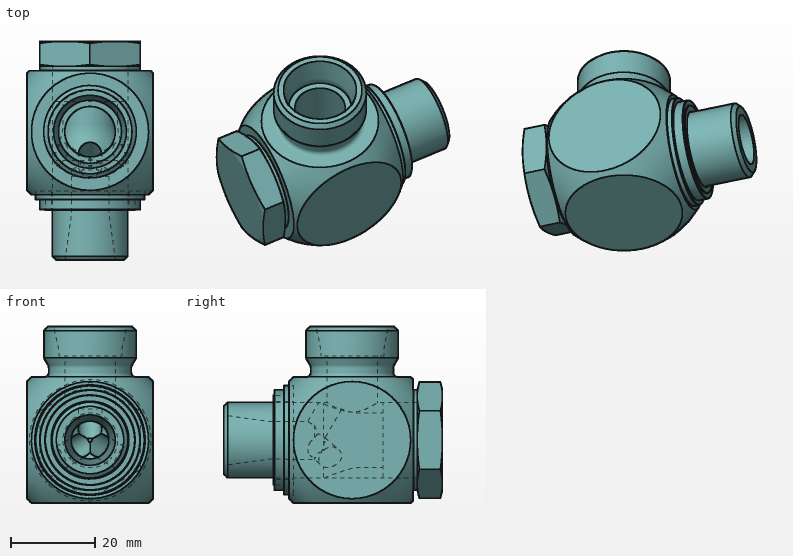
import cadquery as cq
import math


BODY_WIDTH = 30.0
BODY_HALF = BODY_WIDTH / 2
BODY_BACK_Y = 14.5
BODY_FRONT_Y = -BODY_HALF
BODY_SPHERE_DIA = 40.9

OVERALL_HEIGHT = 42.0
PORT_TOP_Z = OVERALL_HEIGHT - BODY_HALF
PORT_DIA = 22.0
PORT_TIP_DIA = 19.95
PORT_NECK_DIA = 19.7
PORT_CONE_TOP_Z = 19.5
PORT_CONE_HALF_ANGLE = 30
PORT_FILLET = 1.0
SEAT_CONE_DIA = 17.3
SEAT_CONE_HALF_ANGLE = 12
SEAT_DIA = 15.0
SEAT_DEPTH = 7.0
PORT_BORE_DIA = 12.0

BOLT_DIA = 18.0
BOLT_LENGTH = 52.0
BOLT_TIP_Y = -30.5
BOLT_TIP_CHAMFER = 1.0
BOLT_END_Y = BOLT_TIP_Y + BOLT_LENGTH
HEAD_FLATS = 23.95
HEAD_HEIGHT = 6.0
HEAD_BASE_Y = BOLT_END_Y - HEAD_HEIGHT
HEAD_CHAMFER_ANGLE = 15
WAIST_DIA = 13.0
WAIST_BACK_Y = 7.3
WAIST_FILLET_Y = 1.45
WAIST_FILLET_RADIUS = 8.0
WAIST_CONE_ANGLE = 20
BOLT_BORE_DIA = 12.0
BOLT_BORE_TAPER = 8
DRILL_DIA = 9.0
DRILL_TIP_HALF_ANGLE = 59
DRILL_TIP_Y = -6.3
CROSS_HOLE_DIA = 5.5
CROSS_HOLE_COUNT = 3
CROSS_HOLE_TILT = 30
CROSS_HOLE_Y = -10.0

EDGE_CHAMFER = 0.13
SLEEVE_FLANGE_DIA = 26.0
SLEEVE_DIA = 21.2
SLEEVE_BORE_DIA = 18.5
FLANGE_SEAT_DEPTH = 1.0
FLANGE_STANDOUT = 1.2
FLANGE_FRONT_Y = BODY_FRONT_Y - FLANGE_STANDOUT
SEAL_DIA = 23.9
SEAL_THICKNESS = 2.35
SEAL_FRONT_Y = FLANGE_FRONT_Y - SEAL_THICKNESS
SLEEVE_LIP = 0.15
SLEEVE_FRONT_Y = SEAL_FRONT_Y - SLEEVE_LIP


def tan_deg(angle):
    return math.tan(math.radians(angle))


def y_cylinder(diameter, front_y, back_y):
    """Solid cylinder on the Y axis."""
    length = back_y - front_y
    return cq.Workplane("XZ", origin=(0, back_y, 0)).circle(diameter / 2).extrude(length)


def turn(profile):
    """Revolve a profile about its plane's upright axis: Y for XY profiles, Z for XZ profiles."""
    return profile.close().revolve(360, (0, 0, 0), (0, 1, 0))


def chamfered_disc(diameter, front_y, back_y):
    """Cylinder on the Y axis with its front edge chamfered."""
    return y_cylinder(diameter, front_y, back_y).faces("<Y").chamfer(EDGE_CHAMFER)


def mouth_chamfer(bore_dia, front_y):
    """Cone that chamfers the front mouth of a bore on the Y axis."""
    bore_radius = bore_dia / 2
    profile = (
        cq.Workplane("XY")
        .moveTo(0, front_y)
        .lineTo(bore_radius + EDGE_CHAMFER, front_y)
        .lineTo(bore_radius, front_y + EDGE_CHAMFER)
        .lineTo(0, front_y + EDGE_CHAMFER)
    )
    return turn(profile)


def make_port():
    """Threaded end with a tapered back, a neck and filleted corners."""
    radius = PORT_DIA / 2
    tip_radius = PORT_TIP_DIA / 2
    neck_radius = PORT_NECK_DIA / 2
    chamfer = radius - tip_radius
    neck_top_z = PORT_CONE_TOP_Z - (radius - neck_radius) / tan_deg(PORT_CONE_HALF_ANGLE)
    foot_radius = neck_radius + PORT_FILLET
    arc_inset = PORT_FILLET * (1 - math.sqrt(0.5))
    profile = (
        cq.Workplane("XZ")
        .moveTo(0, 0)
        .lineTo(foot_radius, 0)
        .lineTo(foot_radius, BODY_HALF)
        .threePointArc(
            (neck_radius + arc_inset, BODY_HALF + arc_inset),
            (neck_radius, BODY_HALF + PORT_FILLET),
        )
        .lineTo(neck_radius, neck_top_z)
        .lineTo(radius, PORT_CONE_TOP_Z)
        .lineTo(radius, PORT_TOP_Z - chamfer)
        .lineTo(tip_radius, PORT_TOP_Z)
        .lineTo(0, PORT_TOP_Z)
    )
    neck_corner = cq.selectors.NearestToPointSelector((0, 0, neck_top_z))
    return turn(profile).edges(neck_corner).fillet(PORT_FILLET)


def make_port_bore():
    """Tapered tube seat, tube stop and bore down to the bolt axis."""
    seat_radius = SEAT_DIA / 2
    cone_radius = SEAT_CONE_DIA / 2
    cone_depth = (cone_radius - seat_radius) / tan_deg(SEAT_CONE_HALF_ANGLE)
    stop_z = PORT_TOP_Z - SEAT_DEPTH
    profile = (
        cq.Workplane("XZ")
        .moveTo(0, 0)
        .lineTo(PORT_BORE_DIA / 2, 0)
        .lineTo(PORT_BORE_DIA / 2, stop_z)
        .lineTo(seat_radius, stop_z)
        .lineTo(seat_radius, PORT_TOP_Z - cone_depth)
        .lineTo(cone_radius, PORT_TOP_Z)
        .lineTo(0, PORT_TOP_Z)
    )
    return turn(profile)


def make_body():
    """Cube rounded by a sphere, with the pipe port, a bolt hole and a flange recess."""
    cube = cq.Workplane("XY").box(BODY_WIDTH, BODY_BACK_Y - BODY_FRONT_Y, BODY_WIDTH)
    cube = cube.translate((0, (BODY_BACK_Y + BODY_FRONT_Y) / 2, 0))
    body = cube.intersect(cq.Workplane("XY").sphere(BODY_SPHERE_DIA / 2))
    body = body.union(make_port()).cut(make_port_bore())
    body = body.cut(y_cylinder(BOLT_DIA, BODY_FRONT_Y, BODY_BACK_Y))
    seat_back_y = BODY_FRONT_Y + FLANGE_SEAT_DEPTH
    body = body.cut(y_cylinder(SLEEVE_FLANGE_DIA, BODY_FRONT_Y, seat_back_y))
    return body.cut(mouth_chamfer(SLEEVE_FLANGE_DIA, BODY_FRONT_Y))


def make_head():
    """Hexagon with corners at the top and bottom, chamfered at both ends."""
    corner_radius = HEAD_FLATS / math.sqrt(3)
    flat_radius = HEAD_FLATS / 2
    hexagon = (
        cq.Workplane("XZ", origin=(0, BOLT_END_Y, 0))
        .transformed(rotate=(0, 0, 90))
        .polygon(6, 2 * corner_radius)
        .extrude(HEAD_HEIGHT)
    )
    chamfer = (corner_radius - flat_radius) * tan_deg(HEAD_CHAMFER_ANGLE)
    envelope = (
        cq.Workplane("XY")
        .moveTo(0, HEAD_BASE_Y)
        .lineTo(flat_radius, HEAD_BASE_Y)
        .lineTo(corner_radius, HEAD_BASE_Y + chamfer)
        .lineTo(corner_radius, BOLT_END_Y - chamfer)
        .lineTo(flat_radius, BOLT_END_Y)
        .lineTo(0, BOLT_END_Y)
    )
    return hexagon.intersect(turn(envelope))


def make_stem():
    """Shank with a waist that widens through a fillet and a cone toward the tip."""
    radius = BOLT_DIA / 2
    waist_radius = WAIST_DIA / 2

    def fillet_point(angle):
        radians = math.radians(angle)
        return (
            waist_radius + WAIST_FILLET_RADIUS * (1 - math.cos(radians)),
            WAIST_FILLET_Y - WAIST_FILLET_RADIUS * math.sin(radians),
        )

    cone_radius, cone_y = fillet_point(WAIST_CONE_ANGLE)
    cone_end_y = cone_y - (radius - cone_radius) / tan_deg(WAIST_CONE_ANGLE)
    profile = (
        cq.Workplane("XY")
        .moveTo(0, HEAD_BASE_Y)
        .lineTo(radius, HEAD_BASE_Y)
        .lineTo(radius, WAIST_BACK_Y)
        .lineTo(waist_radius, WAIST_BACK_Y)
        .lineTo(waist_radius, WAIST_FILLET_Y)
        .threePointArc(fillet_point(WAIST_CONE_ANGLE / 2), (cone_radius, cone_y))
        .lineTo(radius, cone_end_y)
        .lineTo(radius, BOLT_TIP_Y + BOLT_TIP_CHAMFER)
        .lineTo(radius - BOLT_TIP_CHAMFER, BOLT_TIP_Y)
        .lineTo(0, BOLT_TIP_Y)
    )
    return turn(profile)


def make_bolt_bore():
    """Tapered bore from the tip, ending in a drill point."""
    bore_radius = BOLT_BORE_DIA / 2
    drill_radius = DRILL_DIA / 2
    taper_length = (bore_radius - drill_radius) / tan_deg(BOLT_BORE_TAPER)
    point_length = drill_radius / tan_deg(DRILL_TIP_HALF_ANGLE)
    profile = (
        cq.Workplane("XY")
        .moveTo(0, BOLT_TIP_Y)
        .lineTo(bore_radius, BOLT_TIP_Y)
        .lineTo(drill_radius, BOLT_TIP_Y + taper_length)
        .lineTo(drill_radius, DRILL_TIP_Y - point_length)
        .lineTo(0, DRILL_TIP_Y)
    )
    return turn(profile)


def make_cross_holes():
    """Leaning holes from the bolt axis outward, the first pointing up."""
    holes = cq.Workplane("XY")
    for index in range(CROSS_HOLE_COUNT):
        hole = (
            cq.Workplane("XY", origin=(0, CROSS_HOLE_Y, 0))
            .transformed(rotate=(-CROSS_HOLE_TILT, 0, 0))
            .circle(CROSS_HOLE_DIA / 2)
            .extrude(BOLT_DIA)
            .rotate((0, 0, 0), (0, 1, 0), index * 360 / CROSS_HOLE_COUNT)
        )
        holes = holes.union(hole)
    return holes


def make_bolt():
    """Hollow hexagon bolt."""
    return make_stem().union(make_head()).cut(make_bolt_bore()).cut(make_cross_holes())


def make_sleeve():
    """Flanged sleeve around the bolt, its flange seated in the front of the body."""
    back_y = BODY_FRONT_Y + FLANGE_SEAT_DEPTH
    flange = chamfered_disc(SLEEVE_FLANGE_DIA, FLANGE_FRONT_Y, back_y)
    sleeve = flange.union(y_cylinder(SLEEVE_DIA, SLEEVE_FRONT_Y, back_y))
    return sleeve.cut(y_cylinder(SLEEVE_BORE_DIA, SLEEVE_FRONT_Y, back_y))


def make_seal_ring():
    """Ring on the sleeve, against its flange, chamfered inside and out at the front."""
    ring = chamfered_disc(SEAL_DIA, SEAL_FRONT_Y, FLANGE_FRONT_Y)
    ring = ring.cut(y_cylinder(SLEEVE_DIA, SEAL_FRONT_Y, FLANGE_FRONT_Y))
    return ring.cut(mouth_chamfer(SLEEVE_DIA, SEAL_FRONT_Y))


def make_head_ring():
    """Ring clamped between the bolt head and the body."""
    ring = chamfered_disc(SEAL_DIA, BODY_BACK_Y, HEAD_BASE_Y)
    return ring.cut(y_cylinder(BOLT_DIA, BODY_BACK_Y, HEAD_BASE_Y))


body = make_body()
bolt = make_bolt()
sleeve = make_sleeve()
seal_ring = make_seal_ring()
head_ring = make_head_ring()

result = cq.Compound.makeCompound(
    [body.val(), bolt.val(), sleeve.val(), seal_ring.val(), head_ring.val()]
)